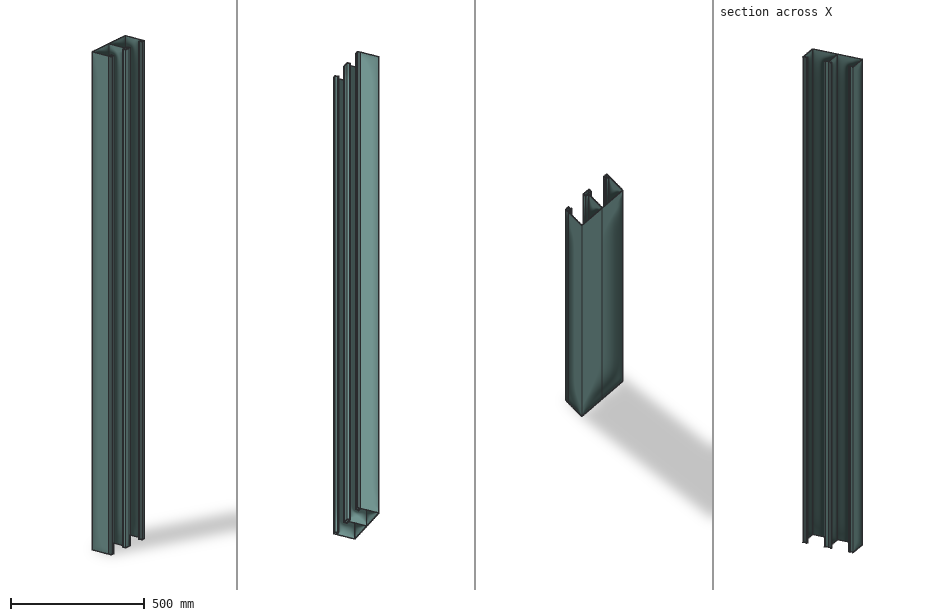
import cadquery as cq

depth = 90.0
width = 210.0
length = 2000.0

wall = 2.0
bead_end_wall = 5.0

bead_depth = 15.0
side_bead_width = 15.0
middle_bead_width = 30.0

lip_length = 5.0

front_x = depth / 2
back_x = -front_x
bead_x = front_x - bead_depth
side_y = width / 2


def bar(x_min, x_max, y_min, y_max):
    """Full-length rectangular bar between the given section limits."""
    return (
        cq.Workplane("XY")
        .box(x_max - x_min, y_max - y_min, length, centered=False)
        .translate((x_min, y_min, 0))
    )


def hollow_bead(y_low, y_high, low_wall, high_wall):
    """Hollow rectangular bead along the front edge."""
    shell = bar(bead_x, front_x, y_low, y_high)
    cavity = bar(bead_x + wall, front_x - wall, y_low + low_wall, y_high - high_wall)
    return shell.cut(cavity)


def side_flange():
    """Flange on the +Y side, with its bead and lip turned inward."""
    bead_end_y = side_y - side_bead_width
    plate = bar(back_x, bead_x, side_y - wall, side_y)
    bead = hollow_bead(bead_end_y, side_y, bead_end_wall, wall)
    lip = bar(bead_x, bead_x + wall, bead_end_y - lip_length, bead_end_y)
    return plate.union(bead).union(lip)


def middle_flange():
    """Central flange with its bead spread evenly to both sides."""
    half_width = middle_bead_width / 2
    plate = bar(back_x, bead_x, -wall / 2, wall / 2)
    bead = hollow_bead(-half_width, half_width, bead_end_wall, bead_end_wall)
    return plate.union(bead)


back_plate = bar(back_x, back_x + wall, -side_y, side_y)
upper_flange = side_flange()
lower_flange = upper_flange.mirror("XZ")
result = back_plate.union(middle_flange()).union(upper_flange).union(lower_flange).clean()